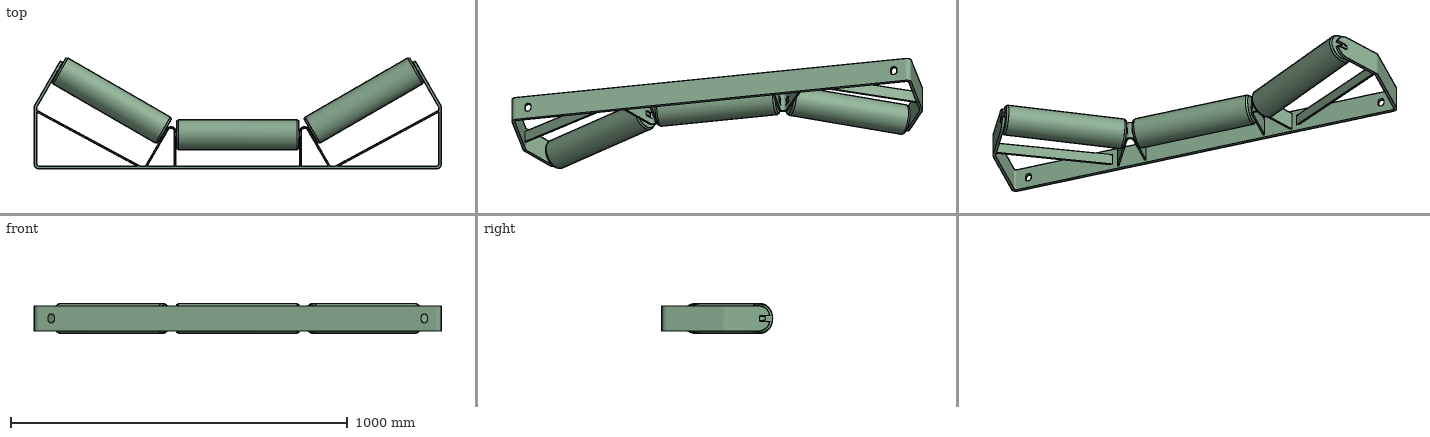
import cadquery as cq
import math

LENGTH = 1210.0
STRIP_WIDTH = 75.0
FRAME_THICKNESS = 8.0
BEND_RADIUS = 15.0
KNEE_Y = 186.0
TILT = 30.0
ARM_REACH = 27.0
BOLT_SLOT_X = 554.0
BOLT_SLOT_WIDTH = 18.0
BOLT_SLOT_HEIGHT = 27.0

ROLLER_DIAMETER = 90.0
ROLLER_LENGTH = 363.0
CHAMFER_LENGTH = 6.0
CHAMFER_DEPTH = 4.0
SHAFT_DIAMETER = 20.0
SHAFT_FLATS = 12.0
SIDE_SHAFT_Y = 299.0
CENTRE_ROLLER_Y = 102.0
ARM_GAP = 1.0
SUPPORT_GAP = 2.0
SHAFT_SLOT_WIDTH = 18.0

SUPPORT_THICKNESS = 5.0
SUPPORT_WIDTH = 58.0
SUPPORT_BEND_RADIUS = 15.0
BRACE_THICKNESS = 5.0
BRACE_WIDTH = 35.0
BRACE_TOP_Y = 174.0
BRACE_FOOT_X = 289.0

HALF = LENGTH / 2
SLOPE_COS = math.cos(math.radians(TILT))
SLOPE_SIN = math.sin(math.radians(TILT))


def along_arm(point, distance):
    """Point moved up along the left arm."""
    return (point[0] + distance * SLOPE_SIN, point[1] + distance * SLOPE_COS)


def along_axis(point, distance):
    """Point moved inward along the left roller's axis."""
    return (point[0] + distance * SLOPE_COS, point[1] - distance * SLOPE_SIN)


def axis_plane(point):
    """Plane at a point of the left roller's axis: local Z inward on the axis, local X up the arm."""
    return cq.Plane(
        origin=(point[0], point[1], 0),
        xDir=(SLOPE_SIN, SLOPE_COS, 0),
        normal=(SLOPE_COS, -SLOPE_SIN, 0),
    )


knee = (-HALF, KNEE_Y)
arm_shaft = along_arm(knee, (SIDE_SHAFT_Y - KNEE_Y) / SLOPE_COS)
support_shaft = along_axis(arm_shaft, FRAME_THICKNESS + ARM_GAP + ROLLER_LENGTH + SUPPORT_GAP)
arm_tip = along_arm(arm_shaft, ARM_REACH)
upright_face_x = -ROLLER_LENGTH / 2 - SUPPORT_GAP

left_axis = axis_plane(arm_shaft)
centre_axis = cq.Plane(
    origin=(upright_face_x - SUPPORT_THICKNESS, CENTRE_ROLLER_Y, 0),
    xDir=(0, 1, 0),
    normal=(1, 0, 0),
)


def mirrored(body):
    """The matching body on the right half."""
    return body.mirror("YZ")


def shaft_slot(plane, depth):
    """Cutter for a slot across a strip, open upward, with a floor curved to fit the shaft."""
    half_width = SHAFT_SLOT_WIDTH / 2
    shaft_radius = SHAFT_DIAMETER / 2
    floor_drop = math.sqrt(shaft_radius**2 - half_width**2)
    slot_top = 3 * SHAFT_DIAMETER
    return (
        cq.Workplane(plane)
        .moveTo(slot_top, half_width)
        .lineTo(-floor_drop, half_width)
        .threePointArc((-shaft_radius, 0), (-floor_drop, -half_width))
        .lineTo(slot_top, -half_width)
        .close()
        .extrude(depth)
    )


def round_corner(body, x, y, radius):
    """Fillet the edge parallel to Z that stands at (x, y)."""
    edge = body.edges("|Z").edges(cq.selectors.NearestToPointSelector((x, y, 0)))
    return edge.fillet(radius)


def make_frame():
    """Bent strip with rounded, slotted arm tips and a bolt slot near each end of its base."""
    inner_knee_y = KNEE_Y - FRAME_THICKNESS * math.tan(math.radians(TILT / 2))
    inner_knee = (-HALF + FRAME_THICKNESS, inner_knee_y)
    inner_tip = along_axis(arm_tip, FRAME_THICKNESS)
    left = [
        (-HALF + FRAME_THICKNESS, FRAME_THICKNESS),
        inner_knee,
        inner_tip,
        arm_tip,
        knee,
        (-HALF, 0),
    ]
    right = [(-x, y) for x, y in reversed(left)]
    frame = cq.Workplane("XY").polyline(left + right).close().extrude(STRIP_WIDTH / 2, both=True)

    inner_radius = BEND_RADIUS - FRAME_THICKNESS
    for side in (-1, 1):
        outer_x = side * HALF
        inner_x = side * (HALF - FRAME_THICKNESS)
        frame = round_corner(frame, outer_x, 0, BEND_RADIUS)
        frame = round_corner(frame, outer_x, KNEE_Y, BEND_RADIUS)
        frame = round_corner(frame, inner_x, FRAME_THICKNESS, inner_radius)
        frame = round_corner(frame, inner_x, inner_knee_y, inner_radius)

    tip_radius = STRIP_WIDTH / 2
    corners = (
        cq.Workplane(left_axis)
        .center(ARM_REACH - tip_radius / 2, 0)
        .rect(tip_radius, STRIP_WIDTH)
        .extrude(FRAME_THICKNESS)
        .cut(
            cq.Workplane(left_axis)
            .center(ARM_REACH - tip_radius, 0)
            .circle(tip_radius)
            .extrude(FRAME_THICKNESS)
        )
    )
    arm_slot = shaft_slot(left_axis, FRAME_THICKNESS)
    for cutter in (corners, arm_slot):
        frame = frame.cut(cutter).cut(mirrored(cutter))

    bolt_slots = (
        cq.Workplane("XZ")
        .pushPoints([(-BOLT_SLOT_X, 0), (BOLT_SLOT_X, 0)])
        .slot2D(BOLT_SLOT_HEIGHT, BOLT_SLOT_WIDTH, 90)
        .extrude(-FRAME_THICKNESS)
    )
    return frame.cut(bolt_slots)


def make_roller(plane, shaft_overhang):
    """Roller along the plane's normal; its shaft starts at the plane and overhangs both ends."""
    start, end = shaft_overhang
    shaft_length = start + ROLLER_LENGTH + end
    shaft = (
        cq.Workplane(plane)
        .circle(SHAFT_DIAMETER / 2)
        .extrude(shaft_length)
        .intersect(
            cq.Workplane(plane)
            .rect(SHAFT_DIAMETER, SHAFT_FLATS)
            .extrude(shaft_length)
        )
    )
    shell = (
        cq.Workplane(plane)
        .workplane(offset=start)
        .circle(ROLLER_DIAMETER / 2)
        .extrude(ROLLER_LENGTH)
        .faces("%PLANE")
        .chamfer(CHAMFER_LENGTH, CHAMFER_DEPTH)
    )
    return shell.union(shaft)


def make_support():
    """Left inner support: a strip folded over into a vertical and a sloping leg."""
    def folded_wedge(inset, radius):
        on_slope = along_axis(support_shaft, inset)
        face_x = upright_face_x - inset
        apex_y = on_slope[1] + (face_x - on_slope[0]) * SLOPE_COS / SLOPE_SIN
        foot_x = on_slope[0] - (on_slope[1] - FRAME_THICKNESS) * SLOPE_SIN / SLOPE_COS
        return (
            cq.Workplane("XY")
            .polyline([(foot_x, FRAME_THICKNESS), (face_x, apex_y), (face_x, FRAME_THICKNESS)])
            .close()
            .extrude(SUPPORT_WIDTH / 2, both=True)
            .edges("|Z and >Y")
            .fillet(radius)
        )

    outside = folded_wedge(0, SUPPORT_BEND_RADIUS)
    inside = folded_wedge(SUPPORT_THICKNESS, SUPPORT_BEND_RADIUS - SUPPORT_THICKNESS)
    return (
        outside.cut(inside)
        .cut(shaft_slot(axis_plane(support_shaft), SUPPORT_THICKNESS))
        .cut(shaft_slot(centre_axis, SUPPORT_THICKNESS))
    )


def make_brace():
    """Left brace: a narrow strip from the upright down to the base, mitred to both."""
    top = (-HALF + FRAME_THICKNESS, BRACE_TOP_Y)
    foot = (-BRACE_FOOT_X, FRAME_THICKNESS)
    angle = math.atan2(top[1] - foot[1], foot[0] - top[0])
    return (
        cq.Workplane("XY")
        .polyline(
            [
                top,
                foot,
                (foot[0] - BRACE_THICKNESS / math.sin(angle), foot[1]),
                (top[0], top[1] - BRACE_THICKNESS / math.cos(angle)),
            ]
        )
        .close()
        .extrude(BRACE_WIDTH / 2, both=True)
    )


frame = make_frame()
left_roller = make_roller(left_axis, (FRAME_THICKNESS + ARM_GAP, SUPPORT_GAP + SUPPORT_THICKNESS))
centre_roller = make_roller(centre_axis, (SUPPORT_THICKNESS + SUPPORT_GAP, SUPPORT_GAP + SUPPORT_THICKNESS))

solids = [frame.val(), centre_roller.val()]
for left_body in (left_roller, make_support(), make_brace()):
    solids.append(left_body.val())
    solids.append(mirrored(left_body).val())

result = cq.Compound.makeCompound(solids)